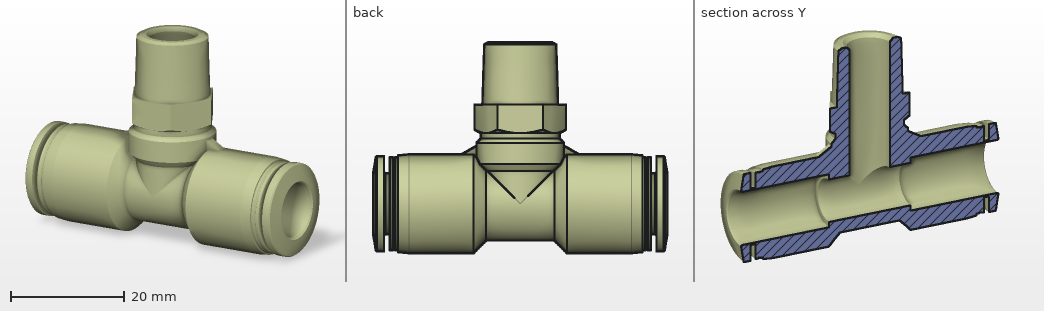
import cadquery as cq
import math


half_length = 26.0
top_z = 28.5
bore_radius = 8.0 / 2

run_neck_radius = 6.5
body_radius = 17.5 / 2
body_cone_start = 6.0
body_cone_end = body_cone_start + body_radius - run_neck_radius
body_taper_start = 19.65
body_end = 21.6
body_end_radius = 8.55

ring_radius = 16.5 / 2
ring_end = 23.1
ring_chamfer = 0.1
groove_start = 22.05
groove_end = 22.55
groove_depth = 0.12

sleeve_radius = 10.8 / 2
flange_radius = 16.8 / 2
flange_start = 24.0
flange_root_chamfer = 0.2
flange_edge_chamfer = 0.2
face_edge_x = 25.5
socket_radius = 10.0 / 2
socket_chamfer = 0.25
socket_floor_x = body_cone_end

collar_radius = 15.5 / 2
collar_bottom_z = 7.0
collar_cone_z = collar_bottom_z - (collar_radius - run_neck_radius)
collar_neck_radius = 14.0 / 2
collar_top_z = 10.75
collar_neck_z = collar_top_z + collar_radius - collar_neck_radius

hex_across_flats = 14.0
hex_corner_radius = hex_across_flats / 2 / math.cos(math.radians(30))
hex_bottom_z = 12.45
hex_top_z = 17.5
hex_chamfer_angle = 30
stud_base_radius = 6.71
stud_taper = 1 / 16
stud_edge_height = 0.4
stud_rim_radius = 5.6
mouth_chamfer = 0.7

rib_width = 2.0
rib_outer_x = 10.3
rib_slope = 30


def revolved_about_x(points):
    """Solid of revolution about X from (x, radius) points."""
    return cq.Workplane("XY").polyline(points).close().revolve(360, (0, 0, 0), (1, 0, 0))


def revolved_about_z(points):
    """Solid of revolution about Z from (radius, z) points."""
    return cq.Workplane("XZ").polyline(points).close().revolve(360, (0, 0, 0), (0, 1, 0))


def socket_half():
    """Outside of the +X half of the run: neck, body, ring and release collar."""
    groove_radius = ring_radius - groove_depth
    return revolved_about_x([
        (0, 0),
        (0, run_neck_radius),
        (body_cone_start, run_neck_radius),
        (body_cone_end, body_radius),
        (body_taper_start, body_radius),
        (body_end, body_end_radius),
        (body_end, ring_radius),
        (groove_start, ring_radius),
        (groove_start + groove_depth, groove_radius),
        (groove_end - groove_depth, groove_radius),
        (groove_end, ring_radius),
        (ring_end - ring_chamfer, ring_radius),
        (ring_end, ring_radius - ring_chamfer),
        (ring_end, sleeve_radius),
        (flange_start - flange_root_chamfer, sleeve_radius),
        (flange_start, sleeve_radius + flange_root_chamfer),
        (flange_start, flange_radius),
        (face_edge_x - flange_edge_chamfer, flange_radius),
        (face_edge_x, flange_radius - flange_edge_chamfer),
        (half_length, socket_radius + socket_chamfer),
        (half_length, 0),
    ])


def socket_hole():
    """Tube socket in the +X end, with a chamfered mouth."""
    return revolved_about_x([
        (socket_floor_x, 0),
        (socket_floor_x, socket_radius),
        (half_length - socket_chamfer, socket_radius),
        (half_length, socket_radius + socket_chamfer),
        (half_length, 0),
    ])


def branch():
    """Round parts of the branch, from the run axis up to the hexagon."""
    return revolved_about_z([
        (0, 0),
        (run_neck_radius, 0),
        (run_neck_radius, collar_cone_z),
        (collar_radius, collar_bottom_z),
        (collar_radius, collar_top_z),
        (collar_neck_radius, collar_neck_z),
        (collar_neck_radius, hex_bottom_z),
        (0, hex_bottom_z),
    ])


def hexagon():
    """Wrench hexagon with corners on X and its lower corners chamfered."""
    prism = (
        cq.Workplane("XY", origin=(0, 0, hex_bottom_z))
        .polygon(6, 2 * hex_corner_radius)
        .extrude(hex_top_z - hex_bottom_z)
    )
    flat_radius = hex_across_flats / 2
    cone_height = (hex_corner_radius - flat_radius) * math.tan(math.radians(hex_chamfer_angle))
    envelope = revolved_about_z([
        (0, hex_bottom_z),
        (flat_radius, hex_bottom_z),
        (hex_corner_radius, hex_bottom_z + cone_height),
        (hex_corner_radius, hex_top_z),
        (0, hex_top_z),
    ])
    return prism.intersect(envelope)


def stud():
    """Tapered thread blank above the hexagon, with a bevelled rim."""
    edge_z = top_z - stud_edge_height
    edge_radius = stud_base_radius - (edge_z - hex_top_z) * stud_taper / 2
    return revolved_about_z([
        (0, hex_top_z),
        (stud_base_radius, hex_top_z),
        (edge_radius, edge_z),
        (stud_rim_radius, top_z),
        (0, top_z),
    ])


def branch_bore():
    """Bore from the run axis to the top, with a chamfered mouth."""
    return revolved_about_z([
        (0, 0),
        (bore_radius, 0),
        (bore_radius, top_z - mouth_chamfer),
        (bore_radius + mouth_chamfer, top_z),
        (0, top_z),
    ])


def rib():
    """Sloped rib on the +X side, sunk into the collar and the body."""
    inner_x = run_neck_radius
    inner_top_z = body_radius + (rib_outer_x - inner_x) * math.tan(math.radians(rib_slope))
    base_z = collar_bottom_z
    return (
        cq.Workplane("XZ")
        .polyline([
            (inner_x, base_z),
            (rib_outer_x, base_z),
            (rib_outer_x, body_radius),
            (inner_x, inner_top_z),
        ])
        .close()
        .extrude(rib_width / 2, both=True)
    )


def both_ends(half):
    """The given +X feature together with its mirror image at -X."""
    return half.union(half.mirror("YZ"))


run_bore = cq.Workplane("YZ").circle(bore_radius).extrude(half_length, both=True)

result = (
    both_ends(socket_half())
    .union(branch())
    .union(both_ends(rib()))
    .union(hexagon())
    .union(stud())
    .cut(run_bore)
    .cut(both_ends(socket_hole()))
    .cut(branch_bore())
)